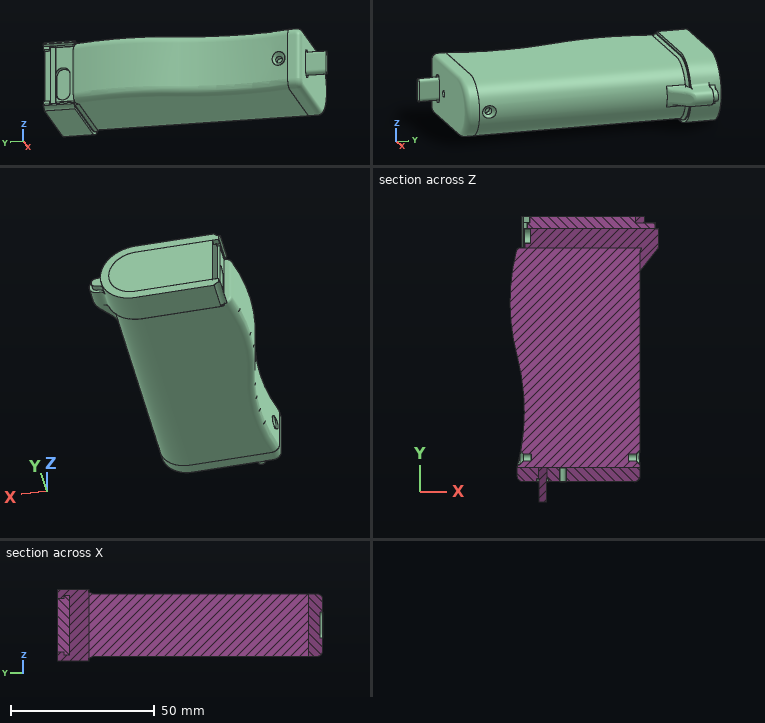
import cadquery as cq
import math


PLUG_TIP_Y = -7.1
CAP_LENGTH = 4.9
WAVE_JOINT_Y = 43.4
GRIP_END_Y = 81.8
FLANGE_START_Y = 88.5
FLANGE_END_Y = 90.6
HEAD_END_Y = 92.8

GRIP_RADIUS = 11.0
GRIP_SIDE_FILLET = 3.0
CAP_LEFT_X = -32.1
CAP_END_FILLET = 2.0

WAVE_END_X = -32.1
WAVE_CREST_X = -34.6
WAVE_JOINT_X = -32.0
WAVE_HOLLOW_X = -29.6
GRIP_END_ROUND = 1.2

FLARE_HEIGHT = 0.6
FLARE_LENGTH = 1.2
FLARE_RIM = 0.3
FLARE_LEFT_X = -29.5

HEAD_THICKNESS = 25.1
HEAD_RADIUS = HEAD_THICKNESS / 2
WALL_THICKNESS = 2.5
WING_ROUND_X = -28.3
WING_TIP_X = -30.5
WING_BULGE = 0.34
HEAD_FACE_X = -29.4
WING_LEDGE_Z = 10.6
LIP_LEFT_X = -29.8
POCKET_WIDTH = 5.0
POCKET_HEIGHT = 11.8
POCKET_DEPTH = 2.0
POCKET_Y = 85.9
POCKET_Z = -3.4

FLANGE_RADIUS = 10.5
FLANGE_LEFT_X = -28.5
LID_RADIUS = 9.5
LID_LEFT_X = -27.7
TAB_HALF_WIDTH = 1.9
TAB_TIP_X = 16.3

HOOK_HALF_WIDTH = 3.0
HOOK_TIP_X = 17.5
HOOK_FOOT_X = 10.9
HOOK_FOOT_Y = 73.4
HOOK_SLOPE_FILLET = 1.4
HEAD_TAB_FILLET = 2.0
GRIP_TAB_FILLET = 1.2

SCREW_Y = 8.5
LEFT_SCREW_X = -31.1
SCREW_DIAMETER = 2.4
SCREW_HEAD_DIAMETER = 5.0
SCREW_DEPTH = 4.0

PLUG_X = -23.1
PLUG_WIDTH = 2.7
PLUG_HEIGHT = 8.4
RECESS_WIDTH = 4.1
RECESS_HEIGHT = 10.0
RECESS_DEPTH = 1.0
LIGHT_HOLE_X = -16.0
LIGHT_HOLE_DIAMETER = 2.2


def section_plane(y):
    """Plane across the part at station y: local x is X, local y is Z, extrusions run to +Y."""
    return cq.Workplane(cq.Plane(origin=(0, y, 0), xDir=(1, 0, 0), normal=(0, -1, 0)))


def d_section(left_x, radius, start_y, end_y):
    """Bar with a flat -X side and a half-round +X side."""
    return (
        section_plane(start_y)
        .moveTo(left_x, radius)
        .lineTo(0, radius)
        .threePointArc((radius, 0), (0, -radius))
        .lineTo(left_x, -radius)
        .close()
        .extrude(start_y - end_y)
    )


def slot_bar(width, height, start_y, end_y):
    """Round-ended bar at the plug position, long in Z."""
    return section_plane(start_y).center(PLUG_X, 0).slot2D(height, width, 90).extrude(start_y - end_y)


def flared_tab(wall_radius, fillet, half_width, tip_x, start_y, end_y):
    """Round-nosed tab standing on a round wall, with concave fillets at its root."""
    fillet_z = half_width + fillet
    fillet_x = math.sqrt((wall_radius + fillet) ** 2 - fillet_z**2)
    root_ratio = wall_radius / (wall_radius + fillet)
    root_x = fillet_x * root_ratio
    root_z = fillet_z * root_ratio
    middle_angle = (math.atan2(root_z - fillet_z, root_x - fillet_x) - math.pi / 2) / 2
    mid_x = fillet_x + fillet * math.cos(middle_angle)
    mid_z = fillet_z + fillet * math.sin(middle_angle)
    nose_x = tip_x - half_width
    return (
        section_plane(start_y)
        .moveTo(0, root_z)
        .lineTo(root_x, root_z)
        .threePointArc((mid_x, mid_z), (fillet_x, half_width))
        .lineTo(nose_x, half_width)
        .threePointArc((tip_x, 0), (nose_x, -half_width))
        .lineTo(fillet_x, -half_width)
        .threePointArc((mid_x, -mid_z), (root_x, -root_z))
        .lineTo(0, -root_z)
        .close()
        .extrude(start_y - end_y)
    )


def screw_hole(surface_x, inward):
    """Countersunk hole along X whose head lies at surface_x; inward is +1 or -1."""
    outside = 2.0
    head_radius = SCREW_HEAD_DIAMETER / 2
    hole_radius = SCREW_DIAMETER / 2
    cone_depth = head_radius - hole_radius
    return (
        cq.Workplane("XY")
        .moveTo(surface_x - inward * outside, SCREW_Y)
        .lineTo(surface_x - inward * outside, SCREW_Y + head_radius)
        .lineTo(surface_x, SCREW_Y + head_radius)
        .lineTo(surface_x + inward * cone_depth, SCREW_Y + hole_radius)
        .lineTo(surface_x + inward * SCREW_DEPTH, SCREW_Y + hole_radius)
        .lineTo(surface_x + inward * SCREW_DEPTH, SCREW_Y)
        .close()
        .revolve(360, (0, SCREW_Y, 0), (1, SCREW_Y, 0))
    )


def make_grip():
    """Handle with a wavy -X side, a flare below the head and two countersunk screw holes."""
    crest_y = (GRIP_END_Y + WAVE_JOINT_Y) / 2
    hollow_y = (CAP_LENGTH + WAVE_JOINT_Y) / 2
    wavy_plate = (
        cq.Workplane("XY")
        .workplane(offset=-GRIP_RADIUS)
        .moveTo(GRIP_RADIUS, CAP_LENGTH)
        .lineTo(GRIP_RADIUS, GRIP_END_Y)
        .lineTo(WAVE_END_X, GRIP_END_Y)
        .threePointArc((WAVE_CREST_X, crest_y), (WAVE_JOINT_X, WAVE_JOINT_Y))
        .threePointArc((WAVE_HOLLOW_X, hollow_y), (CAP_LEFT_X, CAP_LENGTH))
        .close()
        .extrude(2 * GRIP_RADIUS)
    )
    grip = wavy_plate.intersect(d_section(2 * WAVE_CREST_X, GRIP_RADIUS, CAP_LENGTH, GRIP_END_Y))
    side_edges = cq.selectors.BoxSelector(
        (2 * WAVE_CREST_X, CAP_LENGTH, -2 * GRIP_RADIUS),
        (WAVE_HOLLOW_X, GRIP_END_Y, 2 * GRIP_RADIUS),
    )
    grip = grip.edges("not |Z").edges(side_edges).fillet(GRIP_SIDE_FILLET)
    grip = grip.faces(">Y").edges("<X").fillet(GRIP_END_ROUND)

    flare_angle = math.degrees(math.atan2(FLARE_HEIGHT, FLARE_LENGTH))
    flare_radius = GRIP_RADIUS + FLARE_HEIGHT
    flare = (
        section_plane(GRIP_END_Y - FLARE_RIM)
        .moveTo(FLARE_LEFT_X, flare_radius)
        .lineTo(0, flare_radius)
        .threePointArc((flare_radius, 0), (0, -flare_radius))
        .lineTo(FLARE_LEFT_X, -flare_radius)
        .close()
        .extrude(FLARE_LENGTH, taper=flare_angle)
    )
    rim = d_section(FLARE_LEFT_X, flare_radius, GRIP_END_Y - FLARE_RIM, GRIP_END_Y)
    grip = grip.union(flare).union(rim)
    return grip.cut(screw_hole(LEFT_SCREW_X, 1)).cut(screw_hole(GRIP_RADIUS, -1))


def make_cap():
    """End cap with rounded edges, the plug recess and opening, and a small light hole."""
    cap = d_section(CAP_LEFT_X, GRIP_RADIUS, 0, CAP_LENGTH)
    cap = cap.edges("<X and |Y").fillet(GRIP_SIDE_FILLET)
    cap = cap.faces("<Y").edges().fillet(CAP_END_FILLET)
    light_hole = (
        section_plane(0).center(LIGHT_HOLE_X, 0).circle(LIGHT_HOLE_DIAMETER / 2).extrude(-CAP_LENGTH)
    )
    recess = slot_bar(RECESS_WIDTH, RECESS_HEIGHT, 0, RECESS_DEPTH)
    return cap.cut(light_hole).cut(recess).cut(make_plug())


def make_plug():
    """Connector plug that passes through the cap."""
    return slot_bar(PLUG_WIDTH, PLUG_HEIGHT, PLUG_TIP_Y, CAP_LENGTH)


def make_lid():
    """Sliding lid: a flange with a finger tab, and a narrower raised part up to the head's end."""
    flange = d_section(FLANGE_LEFT_X, FLANGE_RADIUS, FLANGE_START_Y, FLANGE_END_Y)
    raised = d_section(LID_LEFT_X, LID_RADIUS, FLANGE_END_Y, HEAD_END_Y)
    tab = flared_tab(
        HEAD_RADIUS, HEAD_TAB_FILLET, TAB_HALF_WIDTH, TAB_TIP_X, FLANGE_START_Y, FLANGE_END_Y
    )
    return flange.union(raised).union(tab)


def make_hook():
    """Hook beside the head whose sloped foot reaches down over the grip."""
    hook = flared_tab(
        HEAD_RADIUS, HEAD_TAB_FILLET, HOOK_HALF_WIDTH, HOOK_TIP_X, GRIP_END_Y, FLANGE_START_Y
    )
    leg = flared_tab(
        GRIP_RADIUS, GRIP_TAB_FILLET, HOOK_HALF_WIDTH, HOOK_TIP_X, HOOK_FOOT_Y, GRIP_END_Y
    )
    slope = (
        cq.Workplane("XY")
        .workplane(offset=-HEAD_RADIUS)
        .moveTo(0, GRIP_END_Y)
        .lineTo(HOOK_TIP_X, GRIP_END_Y)
        .lineTo(HOOK_FOOT_X, HOOK_FOOT_Y)
        .lineTo(0, HOOK_FOOT_Y)
        .close()
        .extrude(2 * HEAD_RADIUS)
    )
    hook = hook.union(leg.intersect(slope))
    slope_normal = cq.Vector(GRIP_END_Y - HOOK_FOOT_Y, HOOK_FOOT_X - HOOK_TIP_X, 0)
    slope_face = hook.faces(cq.selectors.ParallelDirSelector(slope_normal))
    slope_edges = slope_face.edges("not |Z")
    return slope_edges.fillet(HOOK_SLOPE_FILLET)


def make_head(grip, lid):
    """Head with two wings on its -X side, a slide-in groove for the lid, and the hook."""
    wing_mid_z = HEAD_RADIUS - WALL_THICKNESS / 2
    inner_z = HEAD_RADIUS - WALL_THICKNESS
    head = (
        section_plane(GRIP_END_Y)
        .moveTo(WING_ROUND_X, HEAD_RADIUS)
        .lineTo(0, HEAD_RADIUS)
        .threePointArc((HEAD_RADIUS, 0), (0, -HEAD_RADIUS))
        .lineTo(WING_ROUND_X, -HEAD_RADIUS)
        .sagittaArc((WING_TIP_X, -wing_mid_z), -WING_BULGE)
        .lineTo(LIP_LEFT_X, -WING_LEDGE_Z)
        .lineTo(LIP_LEFT_X, -inner_z)
        .lineTo(HEAD_FACE_X, -inner_z)
        .lineTo(HEAD_FACE_X, inner_z)
        .lineTo(LIP_LEFT_X, inner_z)
        .lineTo(LIP_LEFT_X, WING_LEDGE_Z)
        .lineTo(WING_TIP_X, wing_mid_z)
        .sagittaArc((WING_ROUND_X, HEAD_RADIUS), -WING_BULGE)
        .close()
        .extrude(GRIP_END_Y - HEAD_END_Y)
    )
    lips = (
        cq.Workplane("XY", origin=(LIP_LEFT_X, FLANGE_END_Y, 0))
        .box(LID_LEFT_X - LIP_LEFT_X, HEAD_END_Y - FLANGE_END_Y, 2 * inner_z, (False, False, True))
    )
    groove = d_section(WING_TIP_X, FLANGE_RADIUS, FLANGE_START_Y, FLANGE_END_Y)
    window = d_section(WING_TIP_X, LID_RADIUS, FLANGE_END_Y, HEAD_END_Y)
    pocket = (
        cq.Workplane("YZ", origin=(HEAD_FACE_X, POCKET_Y, POCKET_Z))
        .slot2D(POCKET_HEIGHT, POCKET_WIDTH, 90)
        .extrude(POCKET_DEPTH)
    )
    head = head.union(lips).union(make_hook())
    return head.cut(groove).cut(window).cut(pocket).cut(lid).cut(grip)


grip = make_grip()
cap = make_cap()
plug = make_plug()
lid = make_lid()
head = make_head(grip, lid)

result = cq.Compound.makeCompound([grip.val(), cap.val(), plug.val(), lid.val(), head.val()])